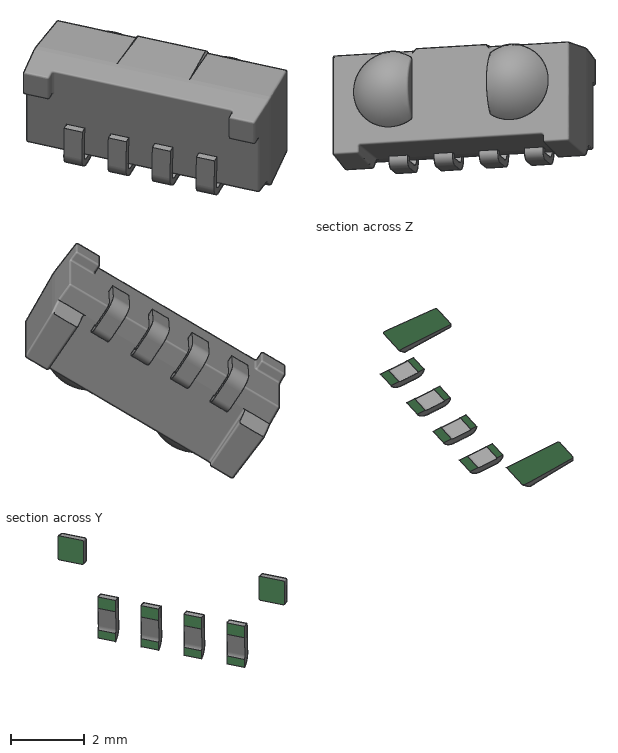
import cadquery as cq
import math

LENGTH = 6.8
DEPTH = 3.2
HEIGHT = 3.0

BAND_FRONT = 1.005
BAND_BACK = 1.16
BACK_FACE = 2.67
BACK_TOP = 2.84
BACK_BOTTOM = 0.09
FRONT_TOP = 2.93
END_DRAFT_BACK = 0.075
END_DRAFT_FRONT = 0.055
EDGE_RADIUS = 0.055
TOLERANCE = 0.01

RECESS_DEPTH = 0.305
FOOT_BOTTOM = 2.195
FOOT_WIDTH = 0.81
INNER_WIDTH = LENGTH - 2 * FOOT_WIDTH

CHANNEL_HEIGHT = 0.31
UNDERSIDE_FRONT_HEIGHT = 0.355
SLOPE_FRONT = 0.85

PANEL_BACK_TOP = 2.91
PANEL_TOP_WIDTH_BACK = 1.945
PANEL_TOP_WIDTH_BAND = 2.095
PANEL_SIDE_DRAFT = 0.17
PANEL_ROOT = 2.72

LENS_SPACING = 3.4
LENS_Z = 1.81
LENS_RADIUS = 1.285
LENS_INNER_X = 1.095
LENS_EDGE_RADIUS = 0.07

LEAD_COUNT = 4
LEAD_PITCH = 1.27
LEAD_WIDTH = 0.525
LEAD_THICKNESS = 0.2
LEAD_TOP = 1.31
LEAD_LEAN_DEG = 2.5
FRONT_BEND_RADIUS = 0.395
REAR_BEND_RADIUS = 0.23
LEAD_BACK = 1.135


def housing_section(y, end_draft, bottom, top):
    """Cross-section normal to Y with rounded upper corners."""
    half = LENGTH / 2 - end_draft
    flat = half - EDGE_RADIUS
    shoulder = top - EDGE_RADIUS
    bulge = EDGE_RADIUS * math.sin(math.radians(45))
    return (
        cq.Workplane("XZ", origin=(0, y, 0))
        .moveTo(-half, bottom)
        .lineTo(half, bottom)
        .lineTo(half, shoulder)
        .threePointArc((flat + bulge, shoulder + bulge), (flat, top))
        .lineTo(-flat, top)
        .threePointArc((-flat - bulge, shoulder + bulge), (-half, shoulder))
        .close()
        .wires()
        .val()
    )


def make_shell():
    sections = [
        housing_section(0, END_DRAFT_FRONT, 0, FRONT_TOP),
        housing_section(BAND_FRONT, 0, 0, HEIGHT),
        housing_section(BAND_BACK, 0, 0, HEIGHT),
        housing_section(BACK_FACE, END_DRAFT_BACK, BACK_BOTTOM, BACK_TOP),
    ]
    return cq.Workplane(obj=cq.Solid.makeLoft(sections, True))


def make_front_cutter():
    """Space below the upper feet, across the full length."""
    outline = [
        (-RECESS_DEPTH, FOOT_BOTTOM),
        (RECESS_DEPTH, FOOT_BOTTOM),
        (RECESS_DEPTH, UNDERSIDE_FRONT_HEIGHT),
        (SLOPE_FRONT, CHANNEL_HEIGHT),
        (BAND_BACK, 0),
        (BAND_BACK, -CHANNEL_HEIGHT),
        (-RECESS_DEPTH, -CHANNEL_HEIGHT),
    ]
    return cq.Workplane("YZ").polyline(outline).close().extrude(LENGTH, both=True)


def is_rounded(edge):
    """True for every edge of the front and back, the outer edges below and the soles of the lower feet."""
    box = edge.BoundingBox()
    on_front = box.ymax < RECESS_DEPTH + TOLERANCE
    on_back = box.ymin > BACK_FACE - TOLERANCE
    below = box.zmax < UNDERSIDE_FRONT_HEIGHT + TOLERANCE
    outer = abs(edge.Center().x) > LENGTH / 2 - END_DRAFT_BACK - TOLERANCE
    sole = box.zmax < BACK_BOTTOM + TOLERANCE and box.xlen < TOLERANCE
    return on_front or on_back or (below and (outer or sole))


def make_housing():
    recess = cq.Workplane("XY").box(INNER_WIDTH, 2 * RECESS_DEPTH, 3 * HEIGHT)
    channel = cq.Workplane("XY").box(INNER_WIDTH, 2 * DEPTH, 2 * CHANNEL_HEIGHT)
    channel = channel.edges("|Y and >Z").fillet(EDGE_RADIUS)
    housing = make_shell().cut(make_front_cutter()).cut(recess).cut(channel)
    rounded_edges = [edge for edge in housing.edges().vals() if is_rounded(edge)]
    return housing.newObject(rounded_edges).fillet(EDGE_RADIUS)


def make_panel():
    """Raised panel, flush with the top at the parting band and rising toward the back face."""
    def section(y, top, top_width):
        half_top = top_width / 2
        half_root = half_top + PANEL_SIDE_DRAFT
        points = [(-half_root, PANEL_ROOT), (half_root, PANEL_ROOT), (half_top, top), (-half_top, top)]
        return cq.Workplane("XZ", origin=(0, y, 0)).polyline(points).close().wires().val()

    front = section(BAND_BACK, HEIGHT, PANEL_TOP_WIDTH_BAND)
    back = section(BACK_FACE, PANEL_BACK_TOP, PANEL_TOP_WIDTH_BACK)
    panel = cq.Workplane(obj=cq.Solid.makeLoft([front, back], True))
    return panel.faces(">Y").edges(">Z").fillet(EDGE_RADIUS)


def make_lens(side):
    """Spherical dome cut flat on the side facing the middle; side is -1 or 1."""
    center_y = DEPTH - LENS_RADIUS
    lens_depth = DEPTH - BACK_FACE + EDGE_RADIUS
    keep_width = 2 * LENS_RADIUS
    dome = cq.Workplane("XY").sphere(LENS_RADIUS).translate((side * LENS_SPACING / 2, center_y, LENS_Z))
    keep_center = (side * (LENS_INNER_X + keep_width / 2), DEPTH - lens_depth / 2, HEIGHT / 2)
    keep = cq.Workplane("XY").box(keep_width, lens_depth, HEIGHT).translate(keep_center)
    inner_face = "<X" if side > 0 else ">X"
    lens = dome.intersect(keep)
    return lens.faces(inner_face).edges(">Y").fillet(LENS_EDGE_RADIUS)


def make_lead(x):
    """J-shaped lead: enters the underside, runs forward and turns up in front of the housing."""
    thick = LEAD_THICKNESS
    lean = math.tan(math.radians(LEAD_LEAN_DEG))
    foot_outer = -lean * FRONT_BEND_RADIUS
    tip_outer = foot_outer + lean * LEAD_TOP
    root_top = 2 * CHANNEL_HEIGHT
    heel_inner = foot_outer + (1 + lean) * thick
    outline = [
        (LEAD_BACK, root_top),
        (LEAD_BACK, 0),
        (foot_outer, 0),
        (tip_outer, LEAD_TOP),
        (tip_outer + thick, LEAD_TOP),
        (heel_inner, thick),
        (LEAD_BACK - thick, thick),
        (LEAD_BACK - thick, root_top),
    ]
    lead = cq.Workplane("YZ").polyline(outline).close().extrude(LEAD_WIDTH / 2, both=True)

    def corner(y, z):
        low = (-LEAD_WIDTH, y - TOLERANCE, z - TOLERANCE)
        high = (LEAD_WIDTH, y + TOLERANCE, z + TOLERANCE)
        return cq.selectors.BoxSelector(low, high)

    lead = lead.edges(corner(foot_outer, 0)).fillet(FRONT_BEND_RADIUS)
    lead = lead.edges(corner(heel_inner, thick)).fillet(FRONT_BEND_RADIUS - thick)
    lead = lead.edges(corner(LEAD_BACK, 0)).fillet(REAR_BEND_RADIUS)
    lead = lead.edges(corner(LEAD_BACK - thick, thick)).fillet(REAR_BEND_RADIUS - thick)
    return lead.translate((x, 0, 0))


result = make_housing().union(make_panel())
for lens_side in (-1, 1):
    result = result.union(make_lens(lens_side))
for index in range(LEAD_COUNT):
    result = result.union(make_lead((index - (LEAD_COUNT - 1) / 2) * LEAD_PITCH))